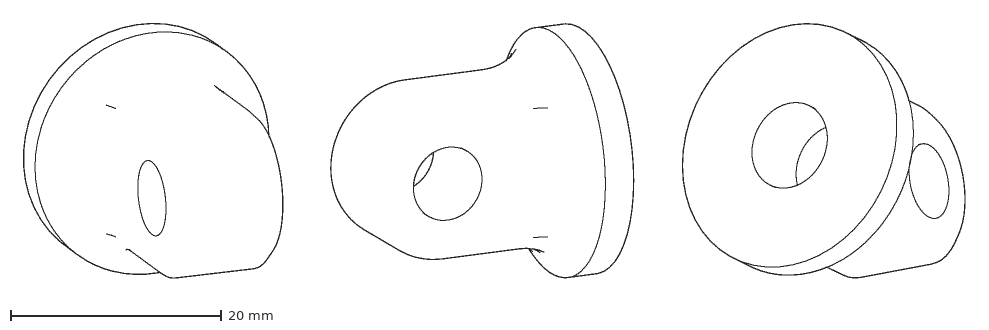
import cadquery as cq

length = 24.3
flange_diameter = 24.0
flange_thickness = 3.0

lug_height = 15.65
lug_width = 10.84
lug_radius = lug_height / 2
eye_x = length - lug_radius
eye_diameter = 7.22
edge_chamfer = 1.2
edge_rounding = 0.6

root_radius = 6.0

bore_diameter = 8.43
bore_depth = 8.0


def make_lug():
    """Tongue with chamfered long edges, the chamfers softened by small rounds."""
    lug = (
        cq.Workplane("XZ")
        .moveTo(0, -lug_radius)
        .lineTo(eye_x, -lug_radius)
        .threePointArc((length, 0), (eye_x, lug_radius))
        .lineTo(0, lug_radius)
        .close()
        .extrude(lug_width / 2, both=True)
    )
    lug = lug.faces("<Y or >Y").edges("not <X").chamfer(edge_chamfer)
    chamfer_borders = lug.edges("|X").add(lug.edges("%CIRCLE"))
    return chamfer_borders.fillet(edge_rounding)


def blend_root(body):
    """Fillet the lug outline where it meets the inner flange face."""
    inner_face = body.faces(cq.selectors.BoxSelector(
        (flange_thickness / 2, -flange_diameter, -flange_diameter),
        (flange_thickness * 1.01, flange_diameter, flange_diameter),
    )).faces("|X")
    lug_outline = inner_face.val().innerWires()[0].Edges()
    return body.newObject([body.val().fillet(root_radius, lug_outline)])


flange = cq.Workplane("YZ").circle(flange_diameter / 2).extrude(flange_thickness)
body = blend_root(flange.union(make_lug()).clean())

eye = (
    cq.Workplane("XZ")
    .center(eye_x, 0)
    .circle(eye_diameter / 2)
    .extrude(lug_width, both=True)
)
bore = cq.Workplane("YZ").circle(bore_diameter / 2).extrude(bore_depth)

result = body.cut(eye).cut(bore)